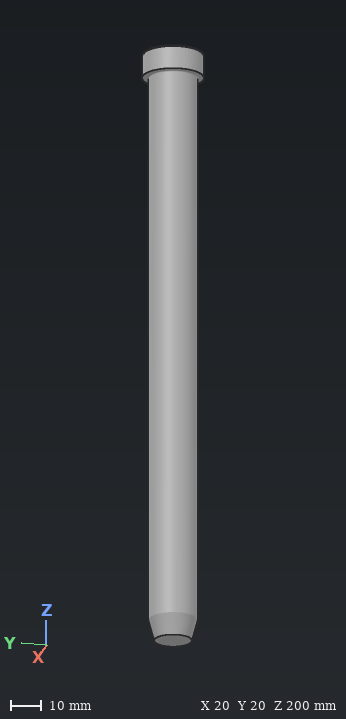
import cadquery as cq
import math

total_length = 200.0
head_diameter = 20.0
head_height = 8.0
head_edge_chamfer = 0.5
shank_diameter = 16.0
neck_fillet = 0.5
tip_length = 7.0
tip_half_angle = 15.0

head_radius = head_diameter / 2
shank_radius = shank_diameter / 2
tip_end_radius = shank_radius - tip_length * math.tan(math.radians(tip_half_angle))
bottom_z = -total_length / 2
tip_top_z = bottom_z + tip_length
top_z = bottom_z + total_length
head_bottom_z = top_z - head_height


def make_tip_and_shank():
    """Conical lead-in tip running up into the cylindrical shank."""
    return (
        cq.Workplane("XZ")
        .moveTo(0, bottom_z)
        .lineTo(tip_end_radius, bottom_z)
        .lineTo(shank_radius, tip_top_z)
        .lineTo(shank_radius, head_bottom_z)
        .lineTo(0, head_bottom_z)
        .close()
        .revolve(360, (0, 0), (0, 1))
    )


def make_head():
    """Flat round head with its top edge chamfered."""
    return (
        cq.Workplane("XY")
        .workplane(offset=head_bottom_z)
        .circle(head_radius)
        .extrude(head_height)
        .faces(">Z")
        .edges()
        .chamfer(head_edge_chamfer)
    )


def fillet_neck(pin):
    """Round the inside corner where the shank meets the underside of the head."""
    neck_edge = cq.selectors.RadiusNthSelector(0)
    head_underside = pin.faces(cq.selectors.NearestToPointSelector((0, 0, head_bottom_z)))
    return head_underside.edges(neck_edge).fillet(neck_fillet)


result = fillet_neck(make_tip_and_shank().union(make_head()))